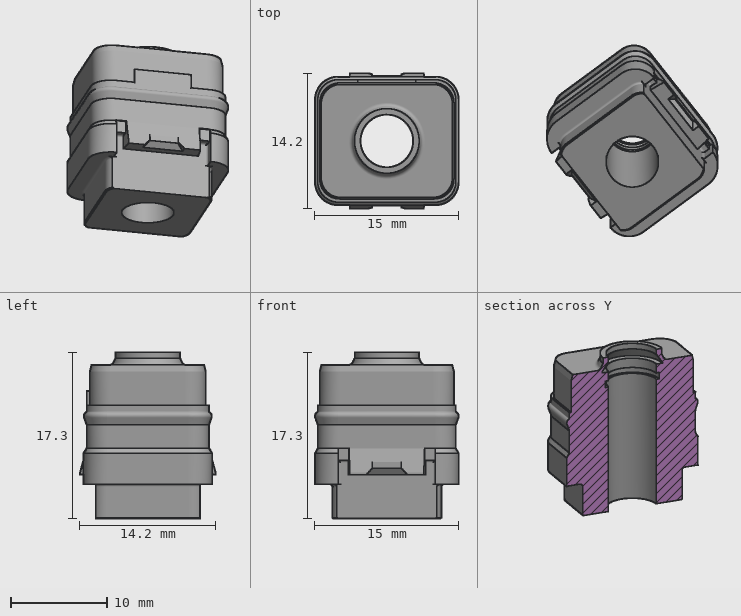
import cadquery as cq
import math

SKIRT_BOTTOM_Z = 3.58
SKIRT_SHOULDER_Z = 6.79
SKIRT_TOP_Z = 7.31
RIB_BOTTOM_Z = 9.77
RIB_CREST_Z = 10.68
COLLAR_TOP_Z = 11.82
CAP_SHOULDER_Z = 15.34
CAP_TOP_Z = 16.02
FULL_HEIGHT = 17.34

PLUG_SIZE = (11.40, 11.80, 1.60)
SKIRT_SIZE = (15.00, 13.42, 2.46)
SLEEVE_SIZE = (14.40, 12.76, 2.13)
CAP_SIZE = (14.00, 12.10, 2.13)
CAP_TAPER = 0.18

PLUG_FLAT_Y = 5.45
PLUG_BOTTOM_CHAMFER = 0.12
INNER_FILLET = 0.24

RIB_PROJECTION = 0.30
RIB_CREST_RADIUS = 0.45
RIB_ROOT_FILLET = 0.10
RIB_EMBED = 0.05

WINDOW_HALF_WIDTH = 5.05
WINDOW_TOP_Z = 7.36
WINDOW_LEDGE_Z = 6.08
LEDGE_Y = 6.20

LATCH_REACH = 14.15 / 2
LATCH_BOTTOM_Z = 4.59
LATCH_LIP_HEIGHT = 0.20
LATCH_BASE_HALF_WIDTH = 4.03
LATCH_TIP_HALF_WIDTH = 3.85
NOTCH_FACE_Y = 6.77
NOTCH_HALF_WIDTH = 1.52
NOTCH_FLARE_HALF_WIDTH = 2.13
NOTCH_FLARE_Z = 5.25
NOTCH_SLOPE_DEPTH = 0.45

TAB_WIDTH = 6.03
TAB_TOP_Z = 13.30

NOZZLE_RADIUS = 3.37
NOZZLE_NECK_Z = 16.72
NOZZLE_FLARE_RADIUS = 3.60
NOZZLE_FLARE_Z = 16.25
NOZZLE_ROOT_DEPTH = 0.5
BORE_RADIUS = 2.73
UPPER_GROOVE_RADIUS = 3.45
UPPER_GROOVE_FLOOR_Z = 15.68
LOWER_GROOVE_RADIUS = 3.05
LOWER_GROOVE_TOP_Z = 14.64
LOWER_GROOVE_FLOOR_Z = 13.98


def rounded_block(size, bottom_z, top_z):
    """Upright block with rounded vertical corners."""
    width, depth, radius = size
    block = cq.Workplane("XY").workplane(offset=bottom_z).rect(width, depth).extrude(top_z - bottom_z)
    return block.edges("|Z").fillet(radius)


def make_base():
    """Skirt with the plug below it, joined by a fillet; the plug is flattened at front and rear."""
    width, depth, _ = PLUG_SIZE
    plug = rounded_block(PLUG_SIZE, 0, SKIRT_SHOULDER_Z).faces("<Z").chamfer(PLUG_BOTTOM_CHAMFER)
    shoulder_inset = (SKIRT_SIZE[0] - SLEEVE_SIZE[0]) / 2
    skirt = rounded_block(SKIRT_SIZE, SKIRT_BOTTOM_Z, SKIRT_TOP_Z)
    skirt = skirt.faces(">Z").chamfer(SKIRT_TOP_Z - SKIRT_SHOULDER_Z, shoulder_inset)
    junction = cq.selectors.BoxSelector(
        (-width / 2 - INNER_FILLET, -depth / 2 - INNER_FILLET, SKIRT_BOTTOM_Z - INNER_FILLET),
        (width / 2 + INNER_FILLET, depth / 2 + INNER_FILLET, SKIRT_BOTTOM_Z + INNER_FILLET),
    )
    base = skirt.union(plug).edges(junction).fillet(INNER_FILLET)
    for side in (-1, 1):
        flat_cut = cq.Workplane("XY").box(SKIRT_SIZE[0], depth, SKIRT_BOTTOM_Z, centered=(True, True, False))
        base = base.cut(flat_cut.translate((0, side * (PLUG_FLAT_Y + depth / 2), 0)))
    return base


def make_cap():
    """Upper block with a slightly tapered top edge."""
    cap = rounded_block(CAP_SIZE, COLLAR_TOP_Z, CAP_TOP_Z)
    return cap.faces(">Z").chamfer(CAP_TOP_Z - CAP_SHOULDER_Z, CAP_TAPER)


def make_rib():
    """Round-crested rib swept around the sleeve outline."""
    half_width = SLEEVE_SIZE[0] / 2
    path = rounded_block(SLEEVE_SIZE, RIB_BOTTOM_Z, COLLAR_TOP_Z).faces("<Z").wires()
    centre_x = half_width + RIB_PROJECTION - RIB_CREST_RADIUS

    def crest_point(angle):
        return (
            centre_x + RIB_CREST_RADIUS * math.cos(angle),
            RIB_CREST_Z + RIB_CREST_RADIUS * math.sin(angle),
        )

    root_dx = half_width - centre_x
    root_dz = RIB_BOTTOM_Z - RIB_CREST_Z
    tangent_angle = math.atan2(root_dz, root_dx) + math.acos(RIB_CREST_RADIUS / math.hypot(root_dx, root_dz))
    fillet_angle = math.acos((root_dx + RIB_ROOT_FILLET) / (RIB_CREST_RADIUS + RIB_ROOT_FILLET))
    top_z = RIB_CREST_Z + (RIB_CREST_RADIUS + RIB_ROOT_FILLET) * math.sin(fillet_angle)
    profile = (
        cq.Workplane("XZ")
        .moveTo(half_width - RIB_EMBED, RIB_BOTTOM_Z)
        .lineTo(half_width, RIB_BOTTOM_Z)
        .lineTo(*crest_point(tangent_angle))
        .threePointArc(crest_point(0), crest_point(fillet_angle))
        .tangentArcPoint((half_width, top_z), relative=False)
        .lineTo(half_width - RIB_EMBED, top_z)
        .close()
    )
    return profile.sweep(path)


def make_window_cut():
    """Front opening: a shallow upper step and a deep lower pocket with filleted inner edges."""
    outer_y = SKIRT_SIZE[1]
    width = 2 * WINDOW_HALF_WIDTH
    pocket_depth = outer_y - PLUG_FLAT_Y
    pocket = (
        cq.Workplane("XY")
        .box(width, pocket_depth, WINDOW_LEDGE_Z, centered=(True, False, False))
        .translate((0, -outer_y, 0))
        .faces(">Y")
        .edges(">Z or >X or <X")
        .fillet(INNER_FILLET)
    )
    step = cq.Workplane("XY").box(width, outer_y - LEDGE_Y, WINDOW_TOP_Z, centered=(True, False, False))
    return pocket.union(step.translate((0, -outer_y, 0)))


def make_notch_cut():
    """Finger notch in the latch: upright back wall with a flared, sloping lower part."""
    flared_outline = (
        cq.Workplane("XZ")
        .polyline([
            (-NOTCH_FLARE_HALF_WIDTH, LATCH_BOTTOM_Z),
            (NOTCH_FLARE_HALF_WIDTH, LATCH_BOTTOM_Z),
            (NOTCH_HALF_WIDTH, NOTCH_FLARE_Z),
            (NOTCH_HALF_WIDTH, SKIRT_TOP_Z),
            (-NOTCH_HALF_WIDTH, SKIRT_TOP_Z),
            (-NOTCH_HALF_WIDTH, NOTCH_FLARE_Z),
        ])
        .close()
        .extrude(SKIRT_SIZE[1])
    )
    back_profile = (
        cq.Workplane("YZ")
        .polyline([
            (-SKIRT_SIZE[1], LATCH_BOTTOM_Z),
            (-NOTCH_FACE_Y + NOTCH_SLOPE_DEPTH, LATCH_BOTTOM_Z),
            (-NOTCH_FACE_Y, NOTCH_FLARE_Z),
            (-NOTCH_FACE_Y, SKIRT_TOP_Z),
            (-SKIRT_SIZE[1], SKIRT_TOP_Z),
        ])
        .close()
        .extrude(NOTCH_FLARE_HALF_WIDTH, both=True)
    )
    return flared_outline.intersect(back_profile)


def make_latch():
    """Front latch wedge, narrowing from the plug face to its tip."""
    sleeve_y = SLEEVE_SIZE[1] / 2
    side_profile = (
        cq.Workplane("YZ")
        .polyline([
            (-PLUG_FLAT_Y, LATCH_BOTTOM_Z),
            (-LATCH_REACH, LATCH_BOTTOM_Z),
            (-LATCH_REACH, LATCH_BOTTOM_Z + LATCH_LIP_HEIGHT),
            (-sleeve_y, SKIRT_TOP_Z),
            (-sleeve_y, WINDOW_TOP_Z),
            (-PLUG_FLAT_Y, WINDOW_TOP_Z),
        ])
        .close()
        .extrude(LATCH_BASE_HALF_WIDTH, both=True)
    )
    tapered_plan = (
        cq.Workplane("XY")
        .polyline([
            (-LATCH_BASE_HALF_WIDTH, -PLUG_FLAT_Y),
            (LATCH_BASE_HALF_WIDTH, -PLUG_FLAT_Y),
            (LATCH_TIP_HALF_WIDTH, -LATCH_REACH),
            (-LATCH_TIP_HALF_WIDTH, -LATCH_REACH),
        ])
        .close()
        .extrude(FULL_HEIGHT)
    )
    return side_profile.intersect(tapered_plan).cut(make_notch_cut())


def make_tab():
    """Flat tab standing on the collar against the rear of the cap."""
    front_y = CAP_SIZE[1] / 2 - CAP_TAPER
    depth = SLEEVE_SIZE[1] / 2 - front_y
    tab = cq.Workplane("XY").box(TAB_WIDTH, depth, TAB_TOP_Z - COLLAR_TOP_Z, centered=(True, False, False))
    return tab.translate((0, front_y, COLLAR_TOP_Z))


def make_nozzle():
    """Solid nozzle with a flared neck and a concave foot on the cap."""
    neck_slope = (NOZZLE_FLARE_RADIUS - NOZZLE_RADIUS) / (NOZZLE_NECK_Z - NOZZLE_FLARE_Z)
    foot_rise = NOZZLE_FLARE_Z - CAP_TOP_Z
    foot_run = neck_slope * foot_rise
    foot_radius = NOZZLE_FLARE_RADIUS + foot_run + math.hypot(foot_run, foot_rise)
    root_z = CAP_TOP_Z - NOZZLE_ROOT_DEPTH
    return (
        cq.Workplane("XZ")
        .moveTo(0, root_z)
        .lineTo(0, FULL_HEIGHT)
        .lineTo(NOZZLE_RADIUS, FULL_HEIGHT)
        .lineTo(NOZZLE_RADIUS, NOZZLE_NECK_Z)
        .lineTo(NOZZLE_FLARE_RADIUS, NOZZLE_FLARE_Z)
        .tangentArcPoint((foot_radius, CAP_TOP_Z), relative=False)
        .lineTo(foot_radius, root_z)
        .close()
        .revolve(360, (0, 0), (0, 1))
    )


def make_bore():
    """Through bore with a conical groove under the lip and a plain groove below it."""
    return (
        cq.Workplane("XZ")
        .polyline([
            (0, 0),
            (BORE_RADIUS, 0),
            (BORE_RADIUS, LOWER_GROOVE_FLOOR_Z),
            (LOWER_GROOVE_RADIUS, LOWER_GROOVE_FLOOR_Z),
            (LOWER_GROOVE_RADIUS, LOWER_GROOVE_TOP_Z),
            (BORE_RADIUS, LOWER_GROOVE_TOP_Z),
            (BORE_RADIUS, UPPER_GROOVE_FLOOR_Z),
            (UPPER_GROOVE_RADIUS, UPPER_GROOVE_FLOOR_Z),
            (BORE_RADIUS, NOZZLE_NECK_Z),
            (BORE_RADIUS, FULL_HEIGHT),
            (0, FULL_HEIGHT),
        ])
        .close()
        .revolve(360, (0, 0), (0, 1))
    )


sleeve = rounded_block(SLEEVE_SIZE, SKIRT_TOP_Z, COLLAR_TOP_Z)
body = make_base().union(sleeve).union(make_rib())
for turn in (0, 180):
    body = body.cut(make_window_cut().rotate((0, 0, 0), (0, 0, 1), turn))
    body = body.union(make_latch().rotate((0, 0, 0), (0, 0, 1), turn))
body = body.union(make_cap()).union(make_tab()).union(make_nozzle())
result = body.cut(make_bore())